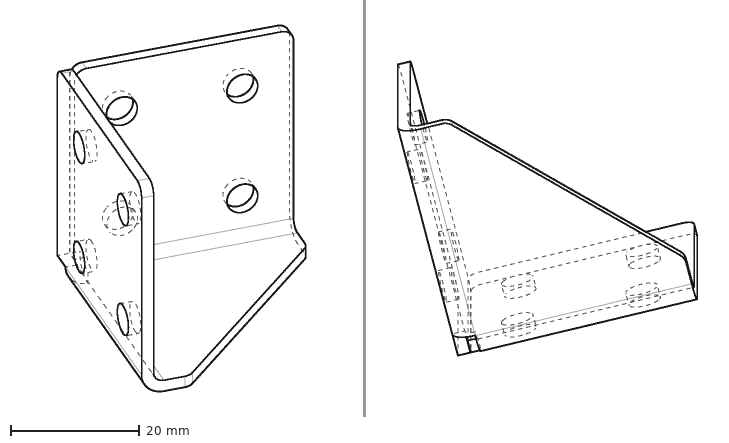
import cadquery as cq

SIDE = 38.5
HEIGHT = 38.0
THICKNESS = 2.0
BEND_RADIUS = 3.7
CORNER_GAP = 0.1
CORNER_RADIUS = 2.0
DIAGONAL_INSET = 8.0
HOLE_DIAMETER = 5.1
HOLE_SPACING = 20.0
HOLE_SIDE_OFFSET = 10.0
HOLE_BASE_OFFSET = 9.0

HOLE_CENTERS = [
    (HOLE_SIDE_OFFSET + column * HOLE_SPACING, HOLE_BASE_OFFSET + row * HOLE_SPACING)
    for column in range(2)
    for row in range(2)
]


def make_wall(start):
    """Upright wall in the XZ plane, outer face on Y = 0, from X = start to the far side."""
    wall = (
        cq.Workplane("XY")
        .box(SIDE - start, THICKNESS, HEIGHT - BEND_RADIUS, centered=False)
        .translate((start, 0, BEND_RADIUS))
        .edges("|Y and >Z")
        .fillet(CORNER_RADIUS)
    )
    holes = (
        cq.Workplane("XZ")
        .pushPoints(HOLE_CENTERS)
        .circle(HOLE_DIAMETER / 2)
        .extrude(-THICKNESS)
    )
    return wall.cut(holes)


def make_bend():
    """Quarter-round bend along X, joining a wall on Y = 0 to the base."""
    inner_radius = BEND_RADIUS - THICKNESS
    return (
        cq.Workplane("YZ", origin=(BEND_RADIUS, 0, 0))
        .moveTo(0, BEND_RADIUS)
        .radiusArc((BEND_RADIUS, 0), -BEND_RADIUS)
        .lineTo(BEND_RADIUS, THICKNESS)
        .radiusArc((THICKNESS, BEND_RADIUS), inner_radius)
        .close()
        .extrude(SIDE - BEND_RADIUS)
    )


def make_base():
    """Flat triangular base with its two outer tips cut square and rounded."""
    between_bend_and_tip = (BEND_RADIUS + DIAGONAL_INSET) / 2
    beyond_base = 2 * SIDE
    tip_corners = cq.selectors.BoxSelector(
        (between_bend_and_tip, between_bend_and_tip, 0),
        (beyond_base, beyond_base, THICKNESS),
    )
    return (
        cq.Workplane("XY")
        .moveTo(BEND_RADIUS, BEND_RADIUS)
        .lineTo(SIDE, BEND_RADIUS)
        .lineTo(SIDE, DIAGONAL_INSET)
        .lineTo(DIAGONAL_INSET, SIDE)
        .lineTo(BEND_RADIUS, SIDE)
        .close()
        .extrude(THICKNESS)
        .edges(tip_corners)
        .edges("|Z")
        .fillet(CORNER_RADIUS)
    )


def swap_x_and_y(body):
    """Mirror a body across the vertical plane X = Y."""
    return body.rotate((0, 0, 0), (0, 0, 1), 90).mirror("YZ")


front_wall = make_wall(0)
side_wall = swap_x_and_y(make_wall(THICKNESS + CORNER_GAP))
front_bend = make_bend()
side_bend = swap_x_and_y(front_bend)

result = make_base().union(front_bend).union(side_bend).union(front_wall).union(side_wall)